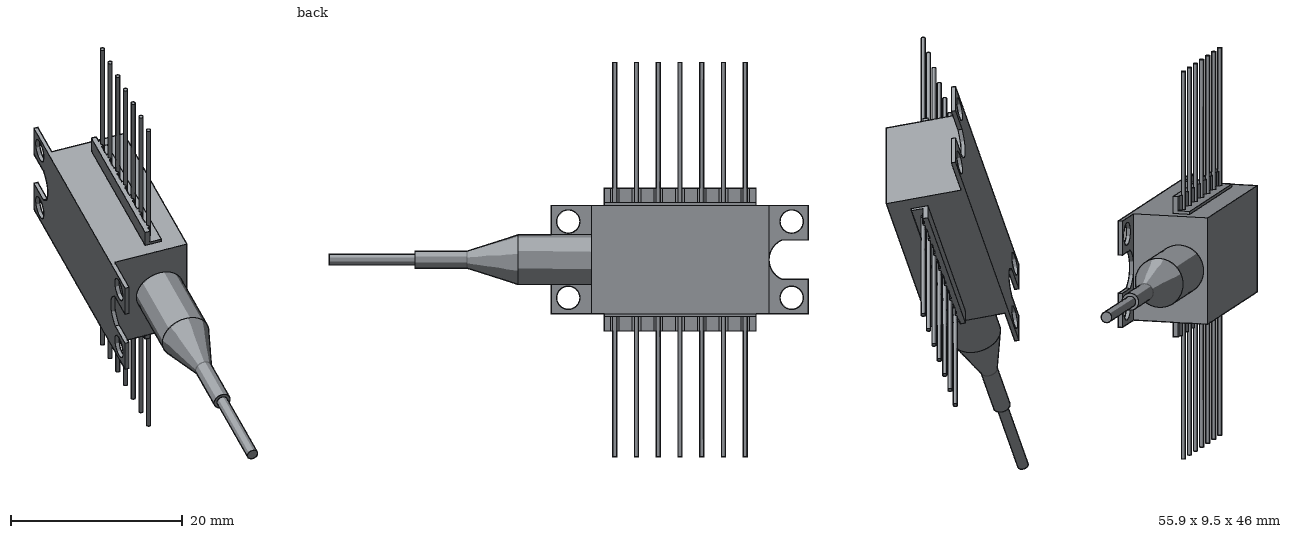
import cadquery as cq
import math


housing_length = 20.75
housing_depth = 9.5
housing_height = 12.65
flange_thickness = 0.5
rear_overhang = 4.6
fibre_overhang = 4.7
flange_length = rear_overhang + housing_length + fibre_overhang
housing_end_x = rear_overhang + housing_length
housing_center_x = rear_overhang + housing_length / 2

hole_diameter = 2.7
hole_spacing_x = 26.05
hole_spacing_z = 8.9
rear_hole_x = 1.95
notch_width = 4.5
notch_diameter = 5.0

carrier_length = 17.7
carrier_front_y = 4.85
ledge_depth = 2.0
ledge_height = 0.35
wall_thickness = 0.6
wall_height = 2.0

pin_count = 7
pin_row_length = 15.2
pin_pitch = pin_row_length / (pin_count - 1)
pin_diameter = 0.5
pin_row_center_x = 15.0
pin_y = 5.75
pin_tip_span = 46.0
pin_tip_z = pin_tip_span / 2
pad_width = 1.0
pad_thickness = 0.2
pad_y = carrier_front_y + wall_thickness

fibre_axis_y = 6.1
barrel_diameter = 5.8
boot_diameter = 2.0
fibre_diameter = 1.3
barrel_end_x = 33.9
cone_end_x = 39.8
boot_end_x = 45.9
fibre_end_x = 55.9


def block(x_center, y_start, z_start, length, depth, height):
    """Box centred along X, starting at the given Y and Z."""
    box = cq.Workplane("XY").box(length, depth, height, centered=(True, False, False))
    return box.translate((x_center, y_start, z_start))


def make_flange():
    flange = block(flange_length / 2, 0, -housing_height / 2, flange_length, flange_thickness, housing_height)
    hole_center_x = rear_hole_x + hole_spacing_x / 2
    holes = (
        cq.Workplane("XZ")
        .center(hole_center_x, 0)
        .rarray(hole_spacing_x, hole_spacing_z, 2, 2)
        .circle(hole_diameter / 2)
        .extrude(-flange_thickness)
    )
    rear_notch = make_notch(0, 1, rear_overhang)
    fibre_notch = make_notch(flange_length, -1, fibre_overhang)
    return flange.cut(holes).cut(rear_notch).cut(fibre_notch)


def make_notch(edge_x, direction, depth):
    """Open slot from a flange end, with a round bottom touching the housing wall."""
    bottom_radius = notch_diameter / 2
    half_width = notch_width / 2
    corner_distance = depth - bottom_radius + math.sqrt(bottom_radius**2 - half_width**2)
    corner_x = edge_x + direction * corner_distance
    return (
        cq.Workplane("XZ")
        .moveTo(edge_x, -half_width)
        .lineTo(corner_x, -half_width)
        .threePointArc((edge_x + direction * depth, 0), (corner_x, half_width))
        .lineTo(edge_x, half_width)
        .close()
        .extrude(-flange_thickness)
    )


def make_pin_row():
    """Carrier, pads and pins on the +Z side of the housing."""
    base_z = housing_height / 2
    ledge = block(housing_center_x, carrier_front_y, base_z, carrier_length, ledge_depth, ledge_height)
    wall = block(housing_center_x, carrier_front_y, base_z, carrier_length, wall_thickness, wall_height)
    row = ledge.union(wall)
    for index in range(pin_count):
        pin_x = pin_row_center_x - pin_row_length / 2 + index * pin_pitch
        pad = block(pin_x, pad_y, base_z, pad_width, pad_thickness, wall_height)
        pin = (
            cq.Workplane("XY", origin=(pin_x, pin_y, base_z))
            .circle(pin_diameter / 2)
            .extrude(pin_tip_z - base_z)
        )
        row = row.union(pad).union(pin)
    return row


def make_feed_through():
    """Barrel, cone, boot and fibre turned about one axis along X."""
    profile = (
        cq.Workplane("XY", origin=(0, fibre_axis_y, 0))
        .moveTo(housing_end_x, 0)
        .lineTo(housing_end_x, barrel_diameter / 2)
        .lineTo(barrel_end_x, barrel_diameter / 2)
        .lineTo(cone_end_x, boot_diameter / 2)
        .lineTo(boot_end_x, boot_diameter / 2)
        .lineTo(boot_end_x, fibre_diameter / 2)
        .lineTo(fibre_end_x, fibre_diameter / 2)
        .lineTo(fibre_end_x, 0)
        .close()
    )
    return profile.revolve(360, (0, 0, 0), (1, 0, 0))


housing = block(housing_center_x, 0, -housing_height / 2, housing_length, housing_depth, housing_height)
upper_pins = make_pin_row()
lower_pins = upper_pins.mirror("XY")

result = (
    make_flange()
    .union(housing)
    .union(upper_pins)
    .union(lower_pins)
    .union(make_feed_through())
)